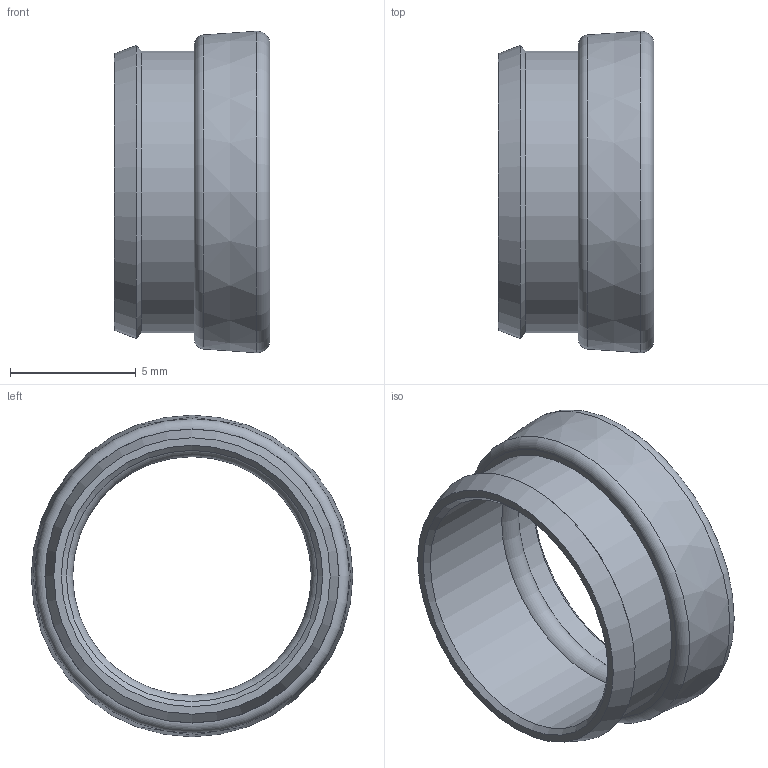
import cadquery as cq
import math

total_length = 6.2
outer_radius = 6.4

bore_radius = 5.0
bore_chamfer = 0.2

neck_radius = 5.6
barb_tip_radius = 5.5
barb_peak_radius = 5.84
barb_peak_x = 0.89
barb_end_x = 1.08

collar_start = 3.19
front_round = 0.4
rear_round = 0.5
flare_angle = math.radians(4)

ring_x = 4.68
ring_inner_radius = 4.75
ring_section_radius = 0.55
ring_center_radius = ring_inner_radius + ring_section_radius


def turned(profile):
    """Close an (x, radius) outline and revolve it about the X axis."""
    return profile.close().revolve(360, (0, 0, 0), (1, 0, 0))


def arc_point(x, r, radius, angle):
    """Point on a circle centred at (x, r), with the angle measured from +X."""
    return (x + radius * math.cos(angle), r + radius * math.sin(angle))


def make_o_ring():
    center = cq.Vector(ring_x, 0, 0)
    axis = cq.Vector(1, 0, 0)
    return cq.Solid.makeTorus(ring_center_radius, ring_section_radius, center, axis)


def make_housing():
    flare_normal = math.pi / 2 + flare_angle
    front_x = collar_start + front_round
    rear_x = total_length - rear_round
    rear_r = outer_radius - rear_round
    front_r = rear_r + (
        (rear_round - front_round) / math.cos(flare_angle) - (rear_x - front_x) * math.tan(flare_angle)
    )
    front_middle = (math.pi + flare_normal) / 2
    rear_middle = flare_normal / 2

    profile = (
        cq.Workplane("XY")
        .moveTo(0, bore_radius + bore_chamfer)
        .lineTo(0, barb_tip_radius)
        .lineTo(barb_peak_x, barb_peak_radius)
        .lineTo(barb_end_x, neck_radius)
        .lineTo(collar_start, neck_radius)
        .lineTo(collar_start, front_r)
        .threePointArc(
            arc_point(front_x, front_r, front_round, front_middle),
            arc_point(front_x, front_r, front_round, flare_normal),
        )
        .lineTo(*arc_point(rear_x, rear_r, rear_round, flare_normal))
        .threePointArc(
            arc_point(rear_x, rear_r, rear_round, rear_middle),
            (total_length, rear_r),
        )
        .lineTo(total_length, bore_radius + bore_chamfer)
        .lineTo(total_length - bore_chamfer, bore_radius)
        .lineTo(bore_chamfer, bore_radius)
    )
    return turned(profile).cut(make_o_ring())


housing = make_housing()
o_ring = make_o_ring()
result = cq.Compound.makeCompound([housing.val(), o_ring])